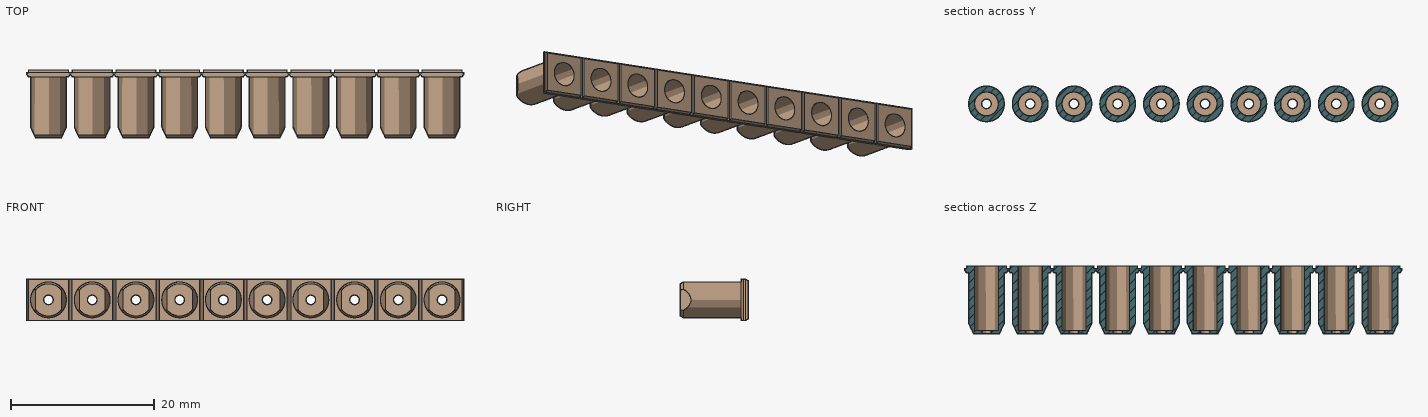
import cadquery as cq
import math

sleeve_count = 10
pitch = 6.1
length = 9.5
tip_y = 0.0
back_y = tip_y + length

flange_height = 5.8
flange_width = 5.6
flange_thickness = 1.0
flange_face_y = back_y - flange_thickness
back_bevel_length = 0.4
back_bevel_angle = math.radians(30)
back_bevel_depth = back_bevel_length * math.tan(back_bevel_angle)
bevel_start_y = back_y - back_bevel_length

web_back_y = bevel_start_y

groove_half_angle = math.radians(30)
groove_half_width = (pitch - flange_width) / 2
groove_apex_y = flange_face_y + groove_half_width / math.tan(groove_half_angle)
groove_root_radius = 0.1
groove_root_center_y = groove_apex_y - groove_root_radius / math.sin(groove_half_angle)

sleeve_diameter = 5.0
tip_chamfer_depth = 0.25
tip_chamfer_angle = math.radians(30)
tip_chamfer_length = tip_chamfer_depth / math.tan(tip_chamfer_angle)
tip_width = 3.6
flat_length = 1.5

hole_diameter = 1.3
bore_diameter = 3.3
tip_wall = 0.5


def mirrored_outline(plane, right_side):
    """Closed outline from its right-hand points and their mirror images about the second axis."""
    left_side = [(-across, along) for across, along in reversed(right_side)]
    return cq.Workplane(plane).polyline(right_side + left_side).close()


def groove_root_point(angle):
    """Point on the groove root arc, at an angle from the groove's centre plane, on the +X edge."""
    x = pitch / 2 - groove_root_radius * math.sin(angle)
    y = groove_root_center_y + groove_root_radius * math.cos(angle)
    return x, y


def mirrored(point):
    """Point reflected to the other side of the sleeve axis."""
    return -point[0], point[1]


def make_flange():
    """Plate with V-grooved, slotted sides and a bevelled top and bottom."""
    half_width = flange_width / 2
    half_height = flange_height / 2
    tangent_angle = math.pi / 2 - groove_half_angle
    root_start = groove_root_point(tangent_angle)
    root_middle = groove_root_point(tangent_angle / 2)
    root_end = groove_root_point(0)
    plan = (
        cq.Workplane("XY")
        .moveTo(-half_width, flange_face_y)
        .lineTo(half_width, flange_face_y)
        .lineTo(*root_start)
        .threePointArc(root_middle, root_end)
        .lineTo(pitch / 2, web_back_y)
        .lineTo(half_width, web_back_y)
        .lineTo(half_width, back_y)
        .lineTo(-half_width, back_y)
        .lineTo(-half_width, web_back_y)
        .lineTo(-pitch / 2, web_back_y)
        .lineTo(*mirrored(root_end))
        .threePointArc(mirrored(root_middle), mirrored(root_start))
        .close()
        .extrude(half_height, both=True)
    )
    side_plane = cq.Plane(origin=(0, 0, 0), xDir=(0, 0, 1), normal=(-1, 0, 0))
    side_profile = mirrored_outline(side_plane, [
        (half_height, flange_face_y),
        (half_height, bevel_start_y),
        (half_height - back_bevel_depth, back_y),
    ]).extrude(pitch / 2, both=True)
    return plan.intersect(side_profile)


def make_sleeve():
    """Round sleeve with a chamfered tip and two slanted flats facing +X and -X."""
    radius = sleeve_diameter / 2
    round_body = (
        cq.Workplane("YZ")
        .polyline([
            (tip_y, 0),
            (tip_y, radius - tip_chamfer_depth),
            (tip_y + tip_chamfer_length, radius),
            (web_back_y, radius),
            (web_back_y, 0),
        ])
        .close()
        .revolve(360, (0, 0, 0), (1, 0, 0))
    )
    flats = mirrored_outline("XY", [
        (tip_width / 2, tip_y),
        (radius, tip_y + flat_length),
        (radius, web_back_y),
    ]).extrude(radius, both=True)
    return round_body.intersect(flats)


def make_cylinder(diameter, start_y, end_y):
    """Cylinder on the sleeve axis between two Y positions."""
    return (
        cq.Workplane("XZ", origin=(0, start_y, 0))
        .circle(diameter / 2)
        .extrude(start_y - end_y)
    )


def make_unit():
    """One sleeve on its flange with the small tip hole opening into the wider bore."""
    hole = make_cylinder(hole_diameter, tip_y, back_y)
    bore = make_cylinder(bore_diameter, tip_y + tip_wall, back_y)
    return make_flange().union(make_sleeve()).cut(hole).cut(bore)


unit = make_unit()
first_x = -pitch * (sleeve_count - 1) / 2
result = unit.translate((first_x, 0, 0))
for index in range(1, sleeve_count):
    result = result.union(unit.translate((first_x + index * pitch, 0, 0)))